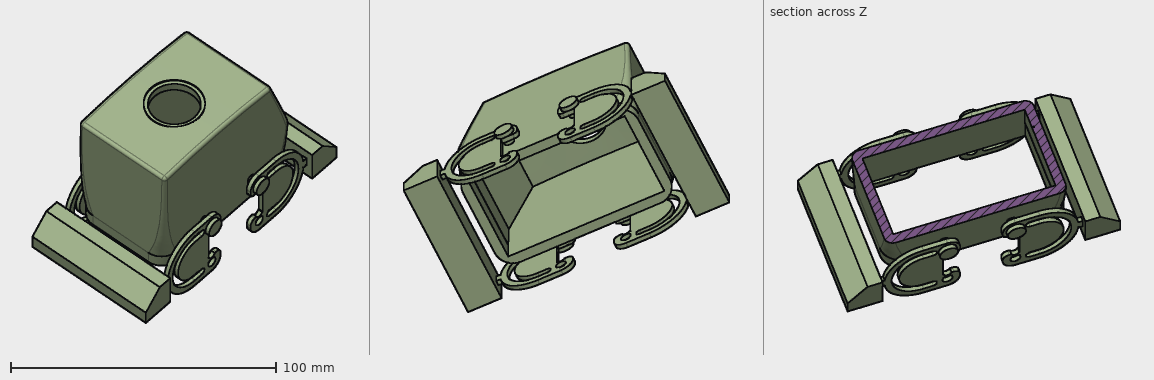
import cadquery as cq
import math

HOOD_WIDTH = 43.0
HOOD_LENGTH = 73.1
RIM_HEIGHT = 5.4
END_DRAFT = 0.9
TOP_HEIGHT = 54.56
DOME_RADIUS = 325.0
DOME_Y = -5.8
CREASE_HEIGHT = 23.3
SLOPE_ANGLE = 20.5
CREASE_RADIUS = 9.0
RIM_CORNER_RADIUS = 7.5
TOP_CORNER_RADIUS = 1.5
CORNER_GROWTH = 3.5
CORNER_STATIONS = 9
TOP_EDGE_RADIUS = 1.5
WALL = 4.0

ENTRY_DIAMETER = 20.0
SEAT_DIAMETER = 23.2
SEAT_DEPTH = 0.6

LEVER_INNER_X = 23.75
LEVER_THICKNESS = 1.95
LEVER_Y = 23.25
LEVER_Z = -0.67
LEVER_RADIUS = 15.57
PIVOT_Y = 13.55
PIVOT_OFFSET = 10.55
LUG_RADIUS = LEVER_RADIUS - PIVOT_OFFSET
THROAT_Y = 15.35
PIVOT_LUG_DROP = 3.55
PIVOT_LUG_FILLET = 1.8
LATCH_HOLE_DIAMETER = 4.1
LATCH_TIP_RISE = 3.8
LATCH_TIP_RADIUS = 2.5
NOTCH_RISE = 4.3
NOTCH_RADIUS = 1.65
SLOT_OUTER_RADIUS = 12.65
SLOT_INNER_RADIUS = 9.65
SLOT_TIP_Y = 17.8

PIN_DIAMETER = 4.0
HEAD_DIAMETER = 7.3
HEAD_END_X = 27.5

HANDLE_WIDTH = 57.0
HANDLE_OUTER_Y = 54.5
HANDLE_DEPTH = 14.0
HANDLE_TOP = 5.4
HANDLE_HEIGHT = 13.8
HANDLE_CHAMFER_Y = 8.0
HANDLE_CHAMFER_Z = 7.8
TAB_HEIGHT = 3.9

HALF_WIDTH = HOOD_WIDTH / 2
HALF_LENGTH = HOOD_LENGTH / 2
HANDLE_INNER_Y = HANDLE_OUTER_Y - HANDLE_DEPTH
LEVER_OUTER_X = LEVER_INNER_X + LEVER_THICKNESS


def dome_height(y):
    """Height of the domed top at a given Y."""
    return TOP_HEIGHT - DOME_RADIUS + math.sqrt(DOME_RADIUS**2 - (y - DOME_Y) ** 2)


def hood_outline():
    """Side outline of the hood above the rim band."""
    draft = math.tan(math.radians(END_DRAFT))
    slope = math.tan(math.radians(SLOPE_ANGLE))
    front_top_y = -HALF_LENGTH + draft * (TOP_HEIGHT - RIM_HEIGHT)
    crease_y = HALF_LENGTH - draft * (CREASE_HEIGHT - RIM_HEIGHT)
    rear_top_y = crease_y - slope * (TOP_HEIGHT - CREASE_HEIGHT)
    rear_top_y += slope * (TOP_HEIGHT - dome_height(rear_top_y))
    return (
        cq.Workplane("YZ")
        .moveTo(-HALF_LENGTH, RIM_HEIGHT)
        .lineTo(HALF_LENGTH, RIM_HEIGHT)
        .lineTo(crease_y, CREASE_HEIGHT)
        .lineTo(rear_top_y, dome_height(rear_top_y))
        .threePointArc((DOME_Y, TOP_HEIGHT), (front_top_y, dome_height(front_top_y)))
        .close()
    )


def corner_radius(z):
    """Radius of the upright corners, small at the top and growing towards the rim."""
    depth = min(1.0, max(0.0, (TOP_HEIGHT - z) / (TOP_HEIGHT - RIM_HEIGHT)))
    return TOP_CORNER_RADIUS + (RIM_CORNER_RADIUS - TOP_CORNER_RADIUS) * depth**CORNER_GROWTH


def round_edges(body):
    """Round the upright corners with the height-dependent radius, and the edges of the dome."""
    kernel = cq.occ_impl.shapes
    maker = kernel.BRepFilletAPI_MakeFillet(body.val().wrapped)
    for x in (-HALF_WIDTH, HALF_WIDTH):
        for y in (-HALF_LENGTH, HALF_LENGTH):
            beside_corner = cq.selectors.NearestToPointSelector((x, y, CREASE_HEIGHT))
            maker.Add(body.faces("<Y" if y < 0 else ">Y").edges(beside_corner).val().wrapped)
            contour = maker.NbContours()
            last_z = cq.Shape.cast(maker.FirstVertex(contour)).Center().z
            for index in range(1, maker.NbEdges(contour) + 1):
                ends = [v.Z for v in cq.Shape.cast(maker.Edge(contour, index)).Vertices()]
                start_z = last_z
                last_z = max(ends, key=lambda z: abs(z - start_z))
                law = kernel.TColgp_HArray1OfPnt2d(1, CORNER_STATIONS)
                for station in range(CORNER_STATIONS):
                    along = station / (CORNER_STATIONS - 1)
                    radius = corner_radius(start_z + along * (last_z - start_z))
                    law.SetValue(station + 1, kernel.gp_Pnt2d(along, radius))
                maker.SetRadius(law, contour, index)
    dome = cq.selectors.NearestToPointSelector((0, DOME_Y, TOP_HEIGHT))
    for edge in body.faces(dome).edges().vals():
        maker.Add(TOP_EDGE_RADIUS, edge.wrapped)
    return cq.Workplane(cq.Shape.cast(maker.Shape()))


def hood_block():
    """Solid outer shape of the hood."""
    crease = cq.selectors.NearestToPointSelector((0, HALF_LENGTH, CREASE_HEIGHT))
    upper = hood_outline().extrude(HALF_WIDTH, both=True)
    upper = round_edges(upper.edges(crease).fillet(CREASE_RADIUS))
    rim = (
        cq.Workplane("XY")
        .rect(HOOD_WIDTH, HOOD_LENGTH)
        .extrude(RIM_HEIGHT)
        .edges("|Z")
        .fillet(RIM_CORNER_RADIUS)
    )
    return upper.union(rim)


def cavity():
    """Open-bottomed hollow of the hood, one wall thickness inside the outline."""
    inside = hood_outline().offset2D(-WALL).extrude(HALF_WIDTH - WALL, both=True)
    mouth = (
        cq.Workplane("XY")
        .rect(HOOD_WIDTH - 2 * WALL, HOOD_LENGTH - 2 * WALL)
        .extrude(RIM_HEIGHT + WALL)
    )
    return inside.union(mouth)


def disc(x, y, z, radius, length):
    """Cylinder along +X."""
    return cq.Workplane("YZ", origin=(x, y, z)).circle(radius).extrude(length)


def cable_entry():
    """Through hole in the dome with a shallow flat seat around it."""
    axis = cq.Workplane("XY").center(0, DOME_Y)
    hole = axis.circle(ENTRY_DIAMETER / 2).extrude(TOP_HEIGHT)
    seat = axis.workplane(offset=TOP_HEIGHT).circle(SEAT_DIAMETER / 2).extrude(-SEAT_DEPTH)
    return hole.union(seat)


def quarter_point(centre, radius, y_sign, z_sign):
    """Point at 45 degrees on a circle, in the quadrant given by the signs."""
    reach = radius * math.sqrt(0.5)
    return (centre[0] + y_sign * reach, centre[1] + z_sign * reach)


def lever_blank():
    """Lever plate with a large round end and two lugs, in Z measured from its centre."""
    lug_y = PIVOT_Y - LUG_RADIUS
    pivot_lug_bottom = PIVOT_OFFSET - PIVOT_LUG_DROP
    latch_lug_top = -PIVOT_OFFSET + LATCH_TIP_RISE
    pivot = (PIVOT_Y, PIVOT_OFFSET)
    latch = (PIVOT_Y, -PIVOT_OFFSET)
    corner = (lug_y + PIVOT_LUG_FILLET, pivot_lug_bottom + PIVOT_LUG_FILLET)
    tip = (lug_y + LATCH_TIP_RADIUS, latch_lug_top - LATCH_TIP_RADIUS)
    return (
        cq.Workplane("YZ", origin=(LEVER_INNER_X, 0, LEVER_Z))
        .moveTo(THROAT_Y, pivot_lug_bottom)
        .lineTo(corner[0], pivot_lug_bottom)
        .threePointArc(quarter_point(corner, PIVOT_LUG_FILLET, -1, -1), (lug_y, corner[1]))
        .lineTo(lug_y, PIVOT_OFFSET)
        .threePointArc(quarter_point(pivot, LUG_RADIUS, -1, 1), (PIVOT_Y, LEVER_RADIUS))
        .lineTo(LEVER_Y, LEVER_RADIUS)
        .threePointArc((LEVER_Y + LEVER_RADIUS, 0), (LEVER_Y, -LEVER_RADIUS))
        .lineTo(PIVOT_Y, -LEVER_RADIUS)
        .threePointArc(quarter_point(latch, LUG_RADIUS, -1, -1), (lug_y, -PIVOT_OFFSET))
        .lineTo(lug_y, tip[1])
        .threePointArc(quarter_point(tip, LATCH_TIP_RADIUS, -1, 1), (tip[0], latch_lug_top))
        .lineTo(THROAT_Y, latch_lug_top)
        .close()
        .extrude(LEVER_THICKNESS)
    )


def lever_slot():
    """C-shaped slot with round ends, concentric with the large round end of the lever."""
    end_radius = (SLOT_OUTER_RADIUS - SLOT_INNER_RADIUS) / 2
    mid_radius = (SLOT_OUTER_RADIUS + SLOT_INNER_RADIUS) / 2
    end_y = SLOT_TIP_Y + end_radius
    return (
        cq.Workplane("YZ", origin=(LEVER_INNER_X, 0, LEVER_Z))
        .moveTo(end_y, SLOT_OUTER_RADIUS)
        .lineTo(LEVER_Y, SLOT_OUTER_RADIUS)
        .threePointArc((LEVER_Y + SLOT_OUTER_RADIUS, 0), (LEVER_Y, -SLOT_OUTER_RADIUS))
        .lineTo(end_y, -SLOT_OUTER_RADIUS)
        .threePointArc((SLOT_TIP_Y, -mid_radius), (end_y, -SLOT_INNER_RADIUS))
        .lineTo(LEVER_Y, -SLOT_INNER_RADIUS)
        .threePointArc((LEVER_Y + SLOT_INNER_RADIUS, 0), (LEVER_Y, SLOT_INNER_RADIUS))
        .lineTo(end_y, SLOT_INNER_RADIUS)
        .threePointArc((SLOT_TIP_Y, mid_radius), (end_y, SLOT_OUTER_RADIUS))
        .close()
        .extrude(LEVER_THICKNESS)
    )


def lever():
    """One lever with its tab to the handle and the pin that holds it to the hood."""
    latch_z = LEVER_Z - PIVOT_OFFSET
    pivot_z = LEVER_Z + PIVOT_OFFSET
    tab_start_y = LEVER_Y + (LEVER_RADIUS + SLOT_OUTER_RADIUS) / 2
    tab = (
        cq.Workplane("YZ", origin=(LEVER_INNER_X, (tab_start_y + HANDLE_INNER_Y) / 2, LEVER_Z))
        .rect(HANDLE_INNER_Y - tab_start_y, TAB_HEIGHT)
        .extrude(LEVER_THICKNESS)
    )
    pin_start_x = HALF_WIDTH - WALL / 2
    pin = disc(pin_start_x, PIVOT_Y, pivot_z, PIN_DIAMETER / 2, LEVER_OUTER_X - pin_start_x)
    head = disc(LEVER_OUTER_X, PIVOT_Y, pivot_z, HEAD_DIAMETER / 2, HEAD_END_X - LEVER_OUTER_X)
    latch_hole = disc(LEVER_INNER_X, PIVOT_Y, latch_z, LATCH_HOLE_DIAMETER / 2, LEVER_THICKNESS)
    notch = disc(LEVER_INNER_X, PIVOT_Y, latch_z + NOTCH_RISE, NOTCH_RADIUS, LEVER_THICKNESS)
    plate = lever_blank().cut(lever_slot()).cut(latch_hole).cut(notch)
    return plate.union(tab).union(pin).union(head)


def handle():
    """Bar across the part with its upper outer edge cut away at a slant."""
    bottom = HANDLE_TOP - HANDLE_HEIGHT
    return (
        cq.Workplane("YZ")
        .moveTo(HANDLE_INNER_Y, bottom)
        .lineTo(HANDLE_OUTER_Y, bottom)
        .lineTo(HANDLE_OUTER_Y, HANDLE_TOP - HANDLE_CHAMFER_Z)
        .lineTo(HANDLE_OUTER_Y - HANDLE_CHAMFER_Y, HANDLE_TOP)
        .lineTo(HANDLE_INNER_Y, HANDLE_TOP)
        .close()
        .extrude(HANDLE_WIDTH / 2, both=True)
    )


def locking_bail():
    """Handle with a lever at each side of the hood, for the +Y end."""
    right_lever = lever()
    return handle().union(right_lever).union(right_lever.mirror("YZ"))


rear_bail = locking_bail()
hood = hood_block().cut(cavity()).cut(cable_entry())
result = hood.union(rear_bail).union(rear_bail.mirror("XZ"))